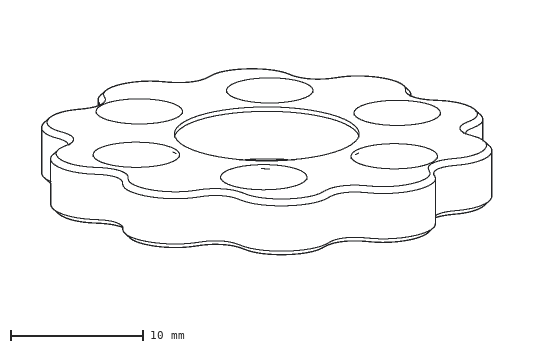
import cadquery as cq
import math

thickness = 4.4
tip_radius = 17.4
edge_chamfer = 0.4

lobe_count = 10
eccentricity = 1.15
profile_offset = 1.75
base_radius = tip_radius - eccentricity + profile_offset
points_per_lobe = 24

bore_diameter = 13.98
seat_diameter = 15.9
lip_thickness = 0.35
pin_hole_count = 6
pin_hole_diameter = 6.55
pin_circle_radius = 11.27


def outline_point(angle):
    """Point on the lobed outline; angle 0 is the lobe tip on +Y."""
    fast_angle = (lobe_count + 1) * angle
    x = -base_radius * math.sin(angle) - eccentricity * math.sin(fast_angle)
    y = base_radius * math.cos(angle) + eccentricity * math.cos(fast_angle)
    fast_speed = (lobe_count + 1) * eccentricity
    dx = -base_radius * math.cos(angle) - fast_speed * math.cos(fast_angle)
    dy = -base_radius * math.sin(angle) - fast_speed * math.sin(fast_angle)
    speed = math.hypot(dx, dy)
    return (x - profile_offset * dy / speed, y + profile_offset * dx / speed)


def make_disc():
    """Lobed disc with both outer rims chamfered."""
    point_count = lobe_count * points_per_lobe
    points = [outline_point(2 * math.pi * i / point_count) for i in range(point_count)]
    disc = cq.Workplane("XY").spline(points, periodic=True).close().extrude(thickness)
    return disc.faces("<Z or >Z").edges().chamfer(edge_chamfer)


def make_pin_holes():
    """Ring of through holes, the first one on +X."""
    return (
        cq.Workplane("XY")
        .polarArray(pin_circle_radius, 0, 360, pin_hole_count)
        .circle(pin_hole_diameter / 2)
        .extrude(thickness)
    )


def make_bore():
    """Central bore with a wider seat from below, leaving a thin lip at the top."""
    bore = cq.Workplane("XY").circle(bore_diameter / 2).extrude(thickness)
    seat = cq.Workplane("XY").circle(seat_diameter / 2).extrude(thickness - lip_thickness)
    return bore.union(seat)


result = make_disc().cut(make_pin_holes()).cut(make_bore())